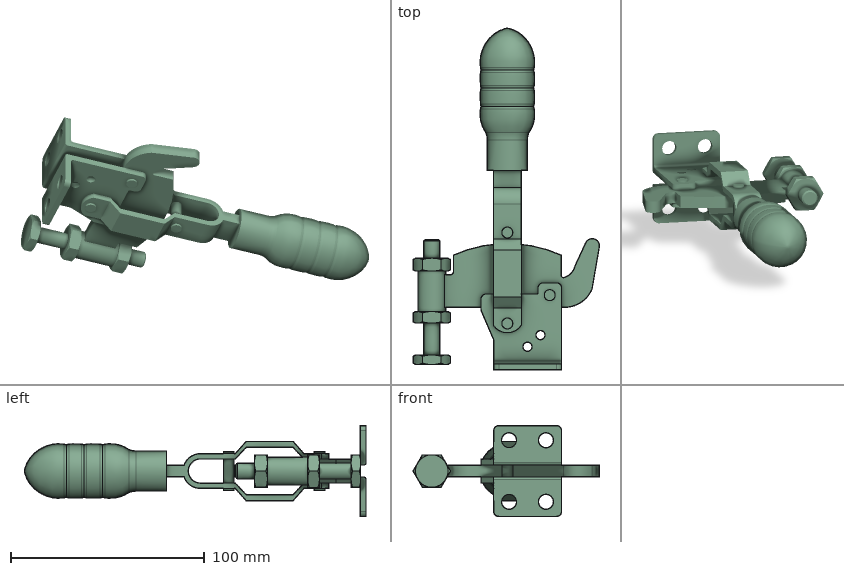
import cadquery as cq
import math


arm_half = 3.0
base_sheet = 3.2
base_outer_z = arm_half + base_sheet
lever_sheet = 2.8
lever_outer_z = base_outer_z + lever_sheet
rivet_proud = 1.0

base_left = -7.0
base_right = 28.0
base_half_depth = 23.5
bend_r = 1.5
flange_corner_r = 2.6
flange_hole_r = 7.6 / 2
flange_hole_z = 15.9
flange_hole_xs = (0.9, 20.0)
cheek_left = -13.6
cheek_waist_y = 15.5
cheek_bulge_y = 30.7
cheek_mid_y = 39.2
cheek_top_y = 45.0
cheek_step_x = 15.9
cheek_corner_r = 2.6
cheek_step_r = 0.9
cheek_hole_r = 2.3
cheek_holes = ((17.1, 18.0), (10.5, 12.0))

rivet_r = 2.8
lever_pivot = (0, 24.0)
link_pivot = (0, 71.0)
arm_pivot = (21.9, 38.7)

arm_bottom_y = 32.3
arm_shoulder_x = 27.9
arm_shoulder_y = 59.4
arm_crown_y = 65.4
arm_ledge_y = 49.3
ledge_fillet_r = 1.5

tail_root = (29.1, arm_bottom_y)
tail_belly = (38.7, 35.3)
tail_heel = (43.8, 41.7)
tail_tip_outer = (47.5, 63.2)
tail_tip = (44.5, 67.8)
tail_tip_inner = (40.5, 65.7)
throat_high = (35.0, 53.9)
throat_bend = (32.7, 49.8)
throat_low = (29.5, 47.9)
notch_bend = (28.3, 48.0)
notch_end = (arm_shoulder_x, 49.0)

lever_half_width = 7.2
lever_end_y = 19.3
lever_end_shoulder_y = 23.1
lever_low_bend_y = 32.2
bow_low_y = 37.8
bow_high_y = 62.0
lever_high_bend_y = 67.7
bow_inner_z = 12.2
bow_outer_z = 15.4
fork_centre_y = 85.7
tang_half = 3.0

collar_r = 10.5
collar_bottom_y = 103.2
collar_top_y = 118.9
neck_y = 122.6
neck_r = 11.1
grip_r = 14.1
groove_edge_r = 14.0
groove_r = 13.6
groove_half_width = 1.32
groove_ys = (136.2, 145.7, 155.0)
first_crest_y = 130.7
last_crest_y = 159.9
dome_shoulder_r = 11.0
dome_shoulder_y = 169.2
tip_y = 176.6

spindle_x = -39.0
stud_r = 8.3 / 2
stud_top_y = 67.3
stud_chamfer = 0.7
sleeve_r = 7.2
hex_flats = 16.8
hex_bevel = 0.7
upper_nut = (51.0, 57.8)
lower_nut = (24.2, 30.2)
head = (2.8, 7.8)


def slab(outline, z_low, z_high):
    """Extrude an XY outline between two heights."""
    return outline.extrude(z_high - z_low).translate((0, 0, z_low))


def y_cylinder(x, radius, y_low, y_high):
    """Cylinder along Y on the Z = 0 plane."""
    plane = cq.Plane(origin=(x, y_low, 0), xDir=(1, 0, 0), normal=(0, 1, 0))
    return cq.Workplane(plane).circle(radius).extrude(y_high - y_low)


def base_angle():
    """Upper base angle: a cheek beside the arm and a flange along the mounting face."""
    outline = (
        cq.Workplane("XY")
        .moveTo(base_left, 0)
        .lineTo(base_right, 0)
        .lineTo(base_right, cheek_top_y)
        .lineTo(cheek_step_x, cheek_top_y)
        .lineTo(cheek_step_x, cheek_mid_y)
        .lineTo(cheek_left, cheek_mid_y)
        .lineTo(cheek_left, cheek_bulge_y)
        .lineTo(base_left, cheek_waist_y)
        .close()
    )
    cheek = slab(outline, arm_half, base_outer_z)

    def at(x, y):
        """Select the upright edge at a corner of the cheek."""
        half = 0.2
        return cq.selectors.BoxSelector(
            (x - half, y - half, 0), (x + half, y + half, base_half_depth)
        )

    for x, y in (
        (base_right, cheek_top_y),
        (cheek_step_x, cheek_top_y),
        (cheek_left, cheek_mid_y),
        (cheek_left, cheek_bulge_y),
    ):
        cheek = cheek.edges("|Z").edges(at(x, y)).fillet(cheek_corner_r)
    cheek = cheek.edges("|Z").edges(at(cheek_step_x, cheek_mid_y)).fillet(cheek_step_r)
    holes = cq.Workplane("XY").pushPoints(cheek_holes).circle(cheek_hole_r).extrude(base_half_depth)
    cheek = cheek.cut(holes)

    width = base_right - base_left
    flange = (
        cq.Workplane("XY")
        .box(width, base_sheet, base_half_depth - arm_half, centered=False)
        .translate((base_left, 0, arm_half))
        .edges("|Y and >Z")
        .fillet(flange_corner_r)
    )
    for x in flange_hole_xs:
        flange = flange.cut(y_cylinder(x, flange_hole_r, 0, base_sheet).translate((0, 0, flange_hole_z)))

    angle = cheek.union(flange)
    outer_bend = cq.selectors.NearestToPointSelector((base_left + width / 2, 0, arm_half))
    angle = angle.edges("|X").edges(outer_bend).fillet(bend_r)
    inner_bend = cq.selectors.NearestToPointSelector((base_left + width / 2, base_sheet, base_outer_z))
    return angle.edges("|X").edges(inner_bend).fillet(bend_r)


def clamping_arm():
    """Arched plate with a ledge at the spindle sleeve and a curved release tail."""
    outline = (
        cq.Workplane("XY")
        .moveTo(spindle_x, arm_bottom_y)
        .lineTo(*tail_root)
        .threePointArc(tail_belly, tail_heel)
        .lineTo(*tail_tip_outer)
        .threePointArc(tail_tip, tail_tip_inner)
        .lineTo(*throat_high)
        .threePointArc(throat_bend, throat_low)
        .threePointArc(notch_bend, notch_end)
        .lineTo(arm_shoulder_x, arm_shoulder_y)
        .threePointArc((0, arm_crown_y), (-arm_shoulder_x, arm_shoulder_y))
        .lineTo(-arm_shoulder_x, arm_ledge_y + ledge_fillet_r)
        .radiusArc((-arm_shoulder_x - ledge_fillet_r, arm_ledge_y), ledge_fillet_r)
        .lineTo(spindle_x, arm_ledge_y)
        .close()
    )
    return slab(outline, -arm_half, arm_half)


def lever_leg():
    """Upper leg of the lever, bowed outwards around the arm."""
    profile = (
        cq.Workplane("YZ")
        .moveTo(lever_end_y, base_outer_z)
        .lineTo(lever_low_bend_y, base_outer_z)
        .lineTo(bow_low_y, bow_inner_z)
        .lineTo(bow_high_y, bow_inner_z)
        .lineTo(lever_high_bend_y, base_outer_z)
        .lineTo(fork_centre_y, base_outer_z)
        .lineTo(fork_centre_y, lever_outer_z)
        .lineTo(lever_high_bend_y, lever_outer_z)
        .lineTo(bow_high_y, bow_outer_z)
        .lineTo(bow_low_y, bow_outer_z)
        .lineTo(lever_low_bend_y, lever_outer_z)
        .lineTo(lever_end_y, lever_outer_z)
        .close()
    )
    plan = (
        cq.Workplane("XY")
        .moveTo(-lever_half_width, lever_end_shoulder_y)
        .threePointArc((0, lever_end_y), (lever_half_width, lever_end_shoulder_y))
        .lineTo(lever_half_width, fork_centre_y)
        .lineTo(-lever_half_width, fork_centre_y)
        .close()
    )
    return profile.extrude(lever_half_width, both=True).intersect(plan.extrude(bow_outer_z))


def lever_fork():
    """Round fork joining both legs, and the flat tang that enters the grip."""
    fork = (
        cq.Workplane("YZ")
        .moveTo(fork_centre_y, lever_outer_z)
        .threePointArc((fork_centre_y + lever_outer_z, 0), (fork_centre_y, -lever_outer_z))
        .lineTo(fork_centre_y, -base_outer_z)
        .threePointArc((fork_centre_y + base_outer_z, 0), (fork_centre_y, base_outer_z))
        .close()
        .extrude(lever_half_width, both=True)
    )
    tang_start = fork_centre_y + (base_outer_z + lever_outer_z) / 2
    tang = (
        cq.Workplane("YZ")
        .moveTo(tang_start, -tang_half)
        .lineTo(collar_top_y, -tang_half)
        .lineTo(collar_top_y, tang_half)
        .lineTo(tang_start, tang_half)
        .close()
        .extrude(lever_half_width, both=True)
    )
    return fork.union(tang)


def grip():
    """Turned grip with a collar, three shallow V grooves and a domed end."""
    profile = (
        cq.Workplane("XY")
        .moveTo(0, collar_bottom_y)
        .lineTo(collar_r, collar_bottom_y)
        .lineTo(collar_r, collar_top_y)
        .tangentArcPoint((neck_r, neck_y), relative=False)
    )
    between_grooves = [(low + high) / 2 for low, high in zip(groove_ys, groove_ys[1:])]
    for crest_y, groove_y in zip([first_crest_y] + between_grooves, groove_ys):
        profile = (
            profile
            .threePointArc((grip_r, crest_y), (groove_edge_r, groove_y - groove_half_width))
            .lineTo(groove_r, groove_y)
            .lineTo(groove_edge_r, groove_y + groove_half_width)
        )
    crown = profile.spline(
        [(grip_r, last_crest_y), (dome_shoulder_r, dome_shoulder_y), (0, tip_y)], includeCurrent=True
    )
    return crown.close().revolve(360, (0, 0, 0), (0, 1, 0))


def hexagon(y_span):
    """Hexagonal nut or bolt head on the spindle, its corners bevelled at both faces."""
    y_low, y_high = y_span
    height = y_high - y_low
    corner_r = hex_flats / math.sqrt(3)
    plane = cq.Plane(origin=(spindle_x, y_low, 0), xDir=(1, 0, 0), normal=(0, 1, 0))
    prism = cq.Workplane(plane).polygon(6, 2 * corner_r).extrude(height)
    bevelled = y_cylinder(spindle_x, corner_r, y_low, y_high)
    bevelled = bevelled.faces("<Y or >Y").edges().chamfer(hex_bevel, corner_r - hex_flats / 2)
    return prism.intersect(bevelled)


def spindle():
    """Bolt through the arm's sleeve, locked by a nut at either end of it."""
    bolt = y_cylinder(spindle_x, stud_r, head[0], stud_top_y).faces(">Y").chamfer(stud_chamfer)
    sleeve = y_cylinder(spindle_x, sleeve_r, lower_nut[1], upper_nut[0])
    assembly = bolt.union(sleeve)
    for span in (head, lower_nut, upper_nut):
        assembly = assembly.union(hexagon(span))
    return assembly


def rivet(position, sheet_z):
    """Rivet through the whole stack, standing proud of the outermost sheets."""
    reach = sheet_z + rivet_proud
    return slab(cq.Workplane("XY").center(*position).circle(rivet_r), -reach, reach)


result = clamping_arm().union(spindle())
for half in (base_angle(), lever_leg()):
    result = result.union(half).union(half.mirror("XY"))
result = result.union(lever_fork()).union(grip())
for pivot, sheet in (
    (lever_pivot, lever_outer_z),
    (link_pivot, lever_outer_z),
    (arm_pivot, base_outer_z),
):
    result = result.union(rivet(pivot, sheet))